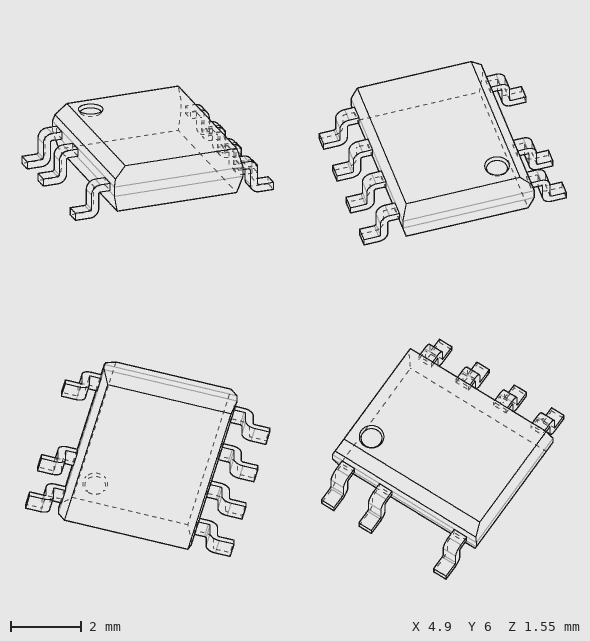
import cadquery as cq
import math

body_length = 4.9
body_width = 3.9
body_bottom = 0.175
body_top = 1.55
belt_height = 0.29
draft_angle = 14.5
bevel_size = 0.385

dimple_x = -1.705
dimple_y = -1.075
dimple_top_radius = 0.35
dimple_floor_radius = 0.295
dimple_depth = 0.095

lead_span = 6.0
lead_width = 0.425
lead_thickness = 0.22
lead_pitch = 1.27
leads_per_side = 4
missing_front_lead = 2
shank_outer_y = 2.515
arm_top = 0.985
bend_inner_radius = 0.05

body_middle = (body_bottom + body_top) / 2
belt_bottom = body_middle - belt_height / 2
belt_top = body_middle + belt_height / 2
bend_outer_radius = bend_inner_radius + lead_thickness


def make_body():
    belt = cq.Workplane("XY").workplane(offset=belt_bottom).rect(body_length, body_width).extrude(belt_height)
    upper = belt.faces(">Z").wires().toPending().extrude(body_top - belt_top, taper=draft_angle)
    return upper.faces("<Z").wires().toPending().workplane().extrude(
        belt_bottom - body_bottom, taper=draft_angle
    )


def make_bevel_cutter():
    """45 degree wedge that removes the front top edge of the body."""
    front = -body_width / 2
    bevel_y = front + bevel_size
    return (
        cq.Workplane("YZ")
        .polyline([(bevel_y, body_top), (front, body_top), (front, body_top - bevel_size)])
        .close()
        .extrude(body_length / 2, both=True)
    )


def make_dimple_cutter():
    wall_angle = math.degrees(math.atan((dimple_top_radius - dimple_floor_radius) / dimple_depth))
    return (
        cq.Workplane("XY", origin=(dimple_x, dimple_y, body_top))
        .circle(dimple_top_radius)
        .extrude(-dimple_depth, taper=wall_angle)
    )


def make_lead():
    """Back-side lead centred on X = 0, with its foot resting on Z = 0."""
    root_y = body_width / 2
    tip_y = lead_span / 2
    shank_inner_y = shank_outer_y - lead_thickness
    arm_bottom = arm_top - lead_thickness
    profile = (
        cq.Workplane("YZ")
        .moveTo(root_y, arm_bottom)
        .lineTo(root_y, arm_top)
        .lineTo(shank_outer_y - bend_outer_radius, arm_top)
        .radiusArc((shank_outer_y, arm_top - bend_outer_radius), bend_outer_radius)
        .lineTo(shank_outer_y, lead_thickness + bend_inner_radius)
        .radiusArc((shank_outer_y + bend_inner_radius, lead_thickness), -bend_inner_radius)
        .lineTo(tip_y, lead_thickness)
        .lineTo(tip_y, 0)
        .lineTo(shank_inner_y + bend_outer_radius, 0)
        .radiusArc((shank_inner_y, bend_outer_radius), bend_outer_radius)
        .lineTo(shank_inner_y, arm_bottom - bend_inner_radius)
        .radiusArc((shank_inner_y - bend_inner_radius, arm_bottom), -bend_inner_radius)
        .close()
    )
    return profile.extrude(lead_width / 2, both=True)


result = make_body().cut(make_bevel_cutter()).cut(make_dimple_cutter())

back_lead = make_lead()
front_lead = back_lead.mirror("XZ")
for index in range(leads_per_side):
    lead_x = (index - (leads_per_side - 1) / 2) * lead_pitch
    result = result.union(back_lead.translate((lead_x, 0, 0)))
    if index != missing_front_lead:
        result = result.union(front_lead.translate((lead_x, 0, 0)))